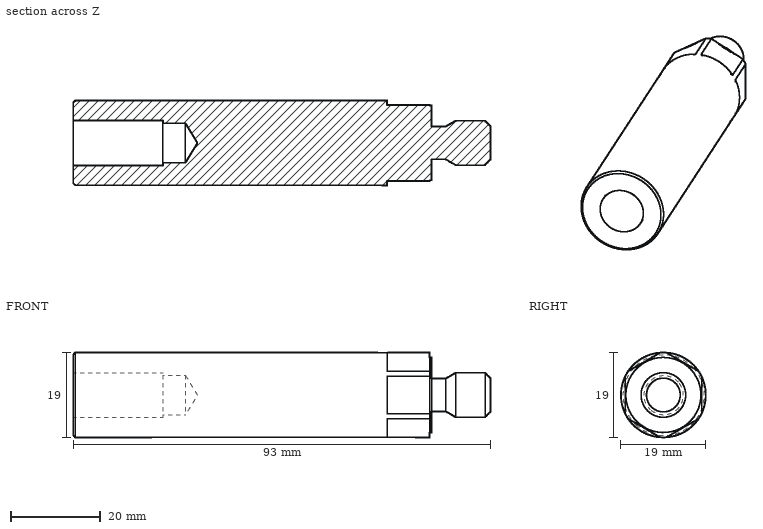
import cadquery as cq
import math

total_length = 93
body_diameter = 19.0
body_radius = body_diameter / 2
end_chamfer = 0.5

hex_start = 69.9
hex_across_flats = 17.0
collar_diameter = 16.7
collar_length = 0.5
shoulder = 79.9
hex_end = shoulder - collar_length

stud_diameter = 9.95
stud_radius = stud_diameter / 2
neck_diameter = 7.4
neck_radius = neck_diameter / 2
neck_length = 3.2
neck_taper_angle = 30
stud_chamfer = 1.2

thread_radius = stud_radius
thread_depth = 20.0
core_radius = 4.4
core_depth = 25.0
drill_point_angle = 118


def make_body():
    """Turned outline revolved about the X axis."""
    neck_end = shoulder + neck_length
    taper_length = (stud_radius - neck_radius) / math.tan(math.radians(neck_taper_angle))
    profile = [
        (0, 0),
        (0, body_radius - end_chamfer),
        (end_chamfer, body_radius),
        (hex_end, body_radius),
        (hex_end, collar_diameter / 2),
        (shoulder, collar_diameter / 2),
        (shoulder, neck_radius),
        (neck_end, neck_radius),
        (neck_end + taper_length, stud_radius),
        (total_length - stud_chamfer, stud_radius),
        (total_length, stud_radius - stud_chamfer),
        (total_length, 0),
    ]
    return cq.Workplane("XY").polyline(profile).close().revolve(360, (0, 0, 0), (1, 0, 0))


def make_hex_waste():
    """Ring outside the hexagon; the hexagon has flats at +Y and -Y."""
    hex_across_corners = hex_across_flats / math.cos(math.pi / 6)
    section = cq.Workplane("YZ", origin=(hex_start, 0, 0))
    length = hex_end - hex_start
    ring = section.circle(hex_across_corners).extrude(length)
    hexagon = section.transformed(rotate=(0, 0, 90)).polygon(6, hex_across_corners).extrude(length)
    return ring.cut(hexagon)


def make_hole():
    """Stepped hole from the plain end, closed by a drill cone."""
    point_length = core_radius / math.tan(math.radians(drill_point_angle / 2))
    profile = [
        (0, 0),
        (0, thread_radius),
        (thread_depth, thread_radius),
        (thread_depth, core_radius),
        (core_depth, core_radius),
        (core_depth + point_length, 0),
    ]
    return cq.Workplane("XY").polyline(profile).close().revolve(360, (0, 0, 0), (1, 0, 0))


result = make_body().cut(make_hex_waste()).cut(make_hole())